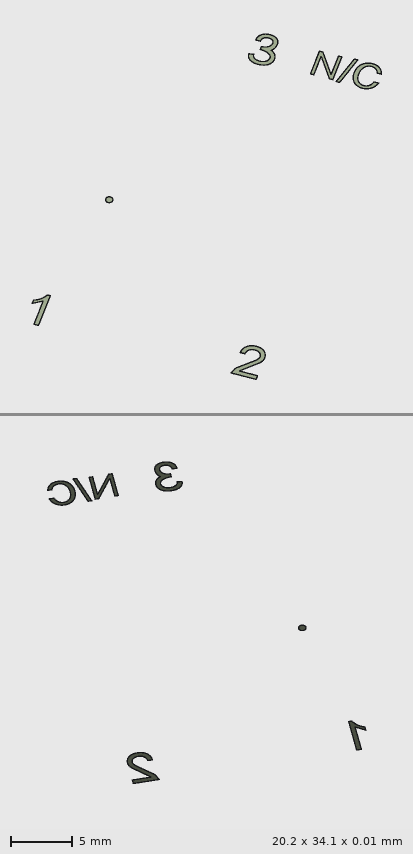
import cadquery as cq


THICKNESS = 0.01

TOTAL_WIDTH = 20.15
TOTAL_LENGTH = 34.05
LEFT_EDGE = -TOTAL_WIDTH / 2
RIGHT_EDGE = TOTAL_WIDTH / 2
BOTTOM_EDGE = -TOTAL_LENGTH / 2
TOP_EDGE = TOTAL_LENGTH / 2

DIGIT_HEIGHT = 3.2
DIGIT_STROKE = 0.4
DIGIT_WIDTH = 2.18
TWO_HEIGHT = 3.25
ONE_WIDTH = 1.2

N_HEIGHT = 2.45
N_WIDTH = 1.95
N_STROKE = 0.3
TALL_HEIGHT = 2.65
OVERSHOOT = (TALL_HEIGHT - N_HEIGHT) / 2
SLASH_WIDTH = 1.02
SLASH_STROKE = 0.3
C_WIDTH = 2.25
C_STROKE = 0.3

DOT_DIAMETER = 0.6

LETTER_BASE = 14.2
ONE_CORNER = (LEFT_EDGE, BOTTOM_EDGE)
TWO_CORNER = (7.55, -16.85)
THREE_CORNER = (-0.95, TOP_EDGE - DIGIT_HEIGHT)
N_CORNER = (4.45, LETTER_BASE)
SLASH_CORNER = (6.7, LETTER_BASE - OVERSHOOT)
C_CORNER = (RIGHT_EDGE - C_WIDTH, LETTER_BASE - OVERSHOOT)
DOT_CENTER = (-7.3, -3.03)

ROUND_PULL = 0.6


def plane_at(point):
    """Workplane on XY with its origin at the given point."""
    return cq.Workplane("XY", origin=(*point, 0))


def toward(start, corner):
    """Control point on the way from an end of a curve to its corner."""
    return tuple(a + ROUND_PULL * (b - a) for a, b in zip(start, corner))


def bend(outline, start, corner, end):
    """Round curve from start to end that is tangent to the two lines through corner."""
    return outline.bezier([start, toward(start, corner), toward(end, corner), end])


def bow(outline, start, apex, end):
    """Half-round curve, upright at both ends and level at its apex."""
    outline = bend(outline, start, (start[0], apex[1]), apex)
    return bend(outline, apex, (end[0], apex[1]), end)


def make_one():
    stem_left = ONE_WIDTH - DIGIT_STROKE
    tip_left = 0.92
    flag_dip = (0.68, 2.62)
    flag_top = 2.35
    flag_bottom = 1.98
    flag_root = 2.5
    return (
        plane_at(ONE_CORNER)
        .moveTo(stem_left, 0)
        .lineTo(ONE_WIDTH, 0)
        .lineTo(ONE_WIDTH, DIGIT_HEIGHT)
        .lineTo(tip_left, DIGIT_HEIGHT)
        .bezier([flag_dip, (0, flag_top)], includeCurrent=True)
        .lineTo(0, flag_bottom)
        .lineTo(stem_left, flag_root)
        .close()
        .extrude(THICKNESS)
    )


def make_two():
    crown_x = 1.15
    bowl_y = 2.28
    hook_outer = (0.1, 2.2)
    hook_inner = (hook_outer[0] + DIGIT_STROKE, hook_outer[1])
    bowl_outer = (DIGIT_WIDTH, bowl_y)
    bowl_inner = (DIGIT_WIDTH - DIGIT_STROKE, bowl_y)
    foot_inner = (0.6, DIGIT_STROKE)
    diagonal_lower = (1.85, 1.6)
    diagonal_upper = (1.53, 1.85)
    heel = (0.25, 0.6)

    outline = (
        plane_at(TWO_CORNER)
        .moveTo(0, 0)
        .lineTo(DIGIT_WIDTH, 0)
        .lineTo(DIGIT_WIDTH, DIGIT_STROKE)
        .lineTo(*foot_inner)
        .lineTo(*diagonal_lower)
    )
    outline = bend(outline, diagonal_lower, (DIGIT_WIDTH, 1.9), bowl_outer)
    outline = bow(outline, bowl_outer, (crown_x, TWO_HEIGHT), hook_outer)
    outline = outline.lineTo(*hook_inner)
    outline = bow(outline, hook_inner, (crown_x, TWO_HEIGHT - DIGIT_STROKE), bowl_inner)
    outline = bend(outline, bowl_inner, (bowl_inner[0], 2.08), diagonal_upper)
    return outline.lineTo(*heel).close().extrude(THICKNESS)


def make_three():
    crown_x = 1.05
    crown_stroke = 0.37
    upper_y = 2.45
    lower_y = 0.92
    hook_outer = (0.1, 2.3)
    hook_inner = (hook_outer[0] + DIGIT_STROKE, hook_outer[1])
    upper_outer = (1.95, upper_y)
    upper_inner = (upper_outer[0] - DIGIT_STROKE, upper_y)
    waist = (1.65, 1.7)
    lower_outer = (DIGIT_WIDTH, lower_y)
    lower_inner = (DIGIT_WIDTH - DIGIT_STROKE, lower_y)
    tail_outer = (0, 0.82)
    tail_inner = (DIGIT_STROKE, 0.9)
    spur_bottom = (0.75, 1.5)
    spur_top = (0.75, 1.85)

    outline = plane_at(THREE_CORNER).moveTo(*hook_outer)
    outline = bow(outline, hook_outer, (crown_x, DIGIT_HEIGHT), upper_outer)
    outline = bend(outline, upper_outer, (upper_outer[0], 1.9), waist)
    outline = bend(outline, waist, (DIGIT_WIDTH, 1.5), lower_outer)
    outline = bow(outline, lower_outer, (crown_x, 0), tail_outer)
    outline = outline.lineTo(*tail_inner)
    outline = bow(outline, tail_inner, (crown_x, crown_stroke), lower_inner)
    outline = bend(outline, lower_inner, (lower_inner[0], spur_bottom[1]), spur_bottom)
    outline = outline.lineTo(*spur_top)
    outline = bend(outline, spur_top, (upper_inner[0], spur_top[1]), upper_inner)
    outline = bow(outline, upper_inner, (crown_x, DIGIT_HEIGHT - crown_stroke), hook_inner)
    return outline.close().extrude(THICKNESS)


def make_letter_n():
    right_stem = N_WIDTH - N_STROKE
    diagonal_drop = 1.98
    outline = [
        (0, 0),
        (N_STROKE, 0),
        (N_STROKE, diagonal_drop),
        (right_stem, 0),
        (N_WIDTH, 0),
        (N_WIDTH, N_HEIGHT),
        (right_stem, N_HEIGHT),
        (right_stem, N_HEIGHT - diagonal_drop),
        (N_STROKE, N_HEIGHT),
        (0, N_HEIGHT),
    ]
    return plane_at(N_CORNER).polyline(outline).close().extrude(THICKNESS)


def make_slash():
    outline = [
        (0, 0),
        (SLASH_STROKE, 0),
        (SLASH_WIDTH, TALL_HEIGHT),
        (SLASH_WIDTH - SLASH_STROKE, TALL_HEIGHT),
    ]
    return plane_at(SLASH_CORNER).polyline(outline).close().extrude(THICKNESS)


def make_letter_c():
    crown_x = 1.15
    middle_y = TALL_HEIGHT / 2
    side_stroke = 0.4
    shoulder_outer = 2.0
    shoulder_inner = 1.7
    upper_end_outer = (2.18, 1.85)
    upper_end_inner = (1.8, 1.85)
    lower_end_outer = (C_WIDTH, 0.92)
    lower_end_inner = (1.85, 0.92)
    top_outer = (crown_x, TALL_HEIGHT)
    top_inner = (crown_x, TALL_HEIGHT - C_STROKE)
    bottom_outer = (crown_x, 0)
    bottom_inner = (crown_x, C_STROKE)
    left_outer = (0, middle_y)
    left_inner = (side_stroke, middle_y)

    outline = plane_at(C_CORNER).moveTo(*upper_end_outer)
    outline = bend(outline, upper_end_outer, (shoulder_outer, TALL_HEIGHT), top_outer)
    outline = bend(outline, top_outer, (0, TALL_HEIGHT), left_outer)
    outline = bend(outline, left_outer, (0, 0), bottom_outer)
    outline = bend(outline, bottom_outer, (shoulder_outer, 0), lower_end_outer)
    outline = outline.lineTo(*lower_end_inner)
    outline = bend(outline, lower_end_inner, (shoulder_inner, C_STROKE), bottom_inner)
    outline = bend(outline, bottom_inner, (side_stroke, C_STROKE), left_inner)
    outline = bend(outline, left_inner, (side_stroke, top_inner[1]), top_inner)
    outline = bend(outline, top_inner, (shoulder_inner, top_inner[1]), upper_end_inner)
    return outline.close().extrude(THICKNESS)


def make_dot():
    return plane_at(DOT_CENTER).circle(DOT_DIAMETER / 2).extrude(THICKNESS)


digit_one = make_one()
digit_two = make_two()
digit_three = make_three()
letter_n = make_letter_n()
slash = make_slash()
letter_c = make_letter_c()
index_dot = make_dot()

result = cq.Compound.makeCompound(
    [
        digit_one.val(),
        digit_two.val(),
        digit_three.val(),
        letter_n.val(),
        slash.val(),
        letter_c.val(),
        index_dot.val(),
    ]
)